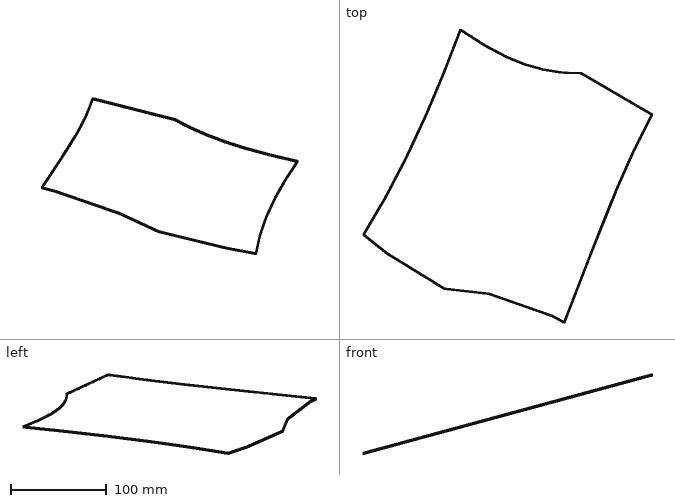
import cadquery as cq
import math

length_x = 302.22
width_y = 306.45
thickness = 1.0
tilt = 15.2

tilt_rad = math.radians(tilt)
slope_length = (length_x - thickness * math.sin(tilt_rad)) / math.cos(tilt_rad)
half_u = slope_length / 2
half_v = width_y / 2

low_corner = (-half_u, -61.3)
back_corner = (-51.3, half_v)
high_corner = (half_u, 64.5)
front_corner = (61.3, -half_v)

low_side_points = [(-104.2, 31.3), (-75.0, 94.9)]
high_side_points = [(131.0, 14.6), (105.0, -44.6)]

back_curve_points = [(-22.2, 135.4), (5.2, 122.0), (38.4, 111.7)]
back_knuckle = (79.0, 108.1)

front_knuckles = [(48.2, -146.4), (-20.2, -123.3), (-68.5, -118.0), (-130.9, -81.0)]


def panel_outline():
    """Closed outline, clockwise from the low corner."""
    outline = cq.Workplane("XY").moveTo(*low_corner)
    outline = outline.spline(low_side_points + [back_corner], includeCurrent=True)
    outline = outline.spline(back_curve_points + [back_knuckle], includeCurrent=True)
    outline = outline.lineTo(*high_corner)
    outline = outline.spline(high_side_points + [front_corner], includeCurrent=True)
    for knuckle in front_knuckles:
        outline = outline.lineTo(*knuckle)
    return outline.close()


def tilted_panel():
    """Panel of even thickness, centred on the origin and turned about Y so +X is high."""
    flat_panel = panel_outline().extrude(thickness / 2, both=True)
    return flat_panel.rotate((0, 0, 0), (0, 1, 0), -tilt)


result = tilted_panel()